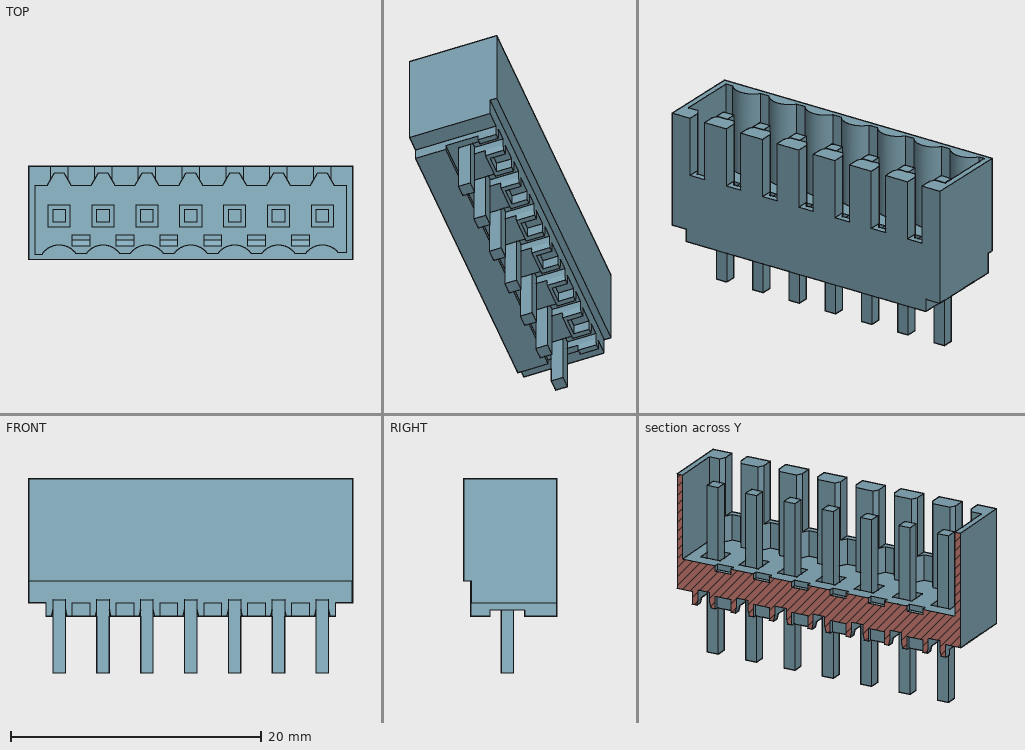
import cadquery as cq

LENGTH = 25.9
DEPTH = 7.45
HEIGHT = 11.0
FRONT_Y = -DEPTH / 2
BACK_Y = DEPTH / 2

PIN_COUNT = 7
ROW_LENGTH = 21.03
PITCH = ROW_LENGTH / (PIN_COUNT - 1)
PIN_Y = -0.23
PIN_SIZE = 1.0
PIN_TIP_DROP = 1.15
TAIL_LENGTH = 4.53
PIN_XS = [i * PITCH - ROW_LENGTH / 2 for i in range(PIN_COUNT)]
GAP_XS = [x + PITCH / 2 for x in PIN_XS[:-1]]

CAVITY_LENGTH = 24.86
CAVITY_DEPTH = 7.25
BACK_WALL = 1.55
FRONT_WALL = 0.47
FRONT_WALL_STEP = 0.08
FLOOR_Z = HEIGHT - CAVITY_DEPTH
CAVITY_BACK_Y = BACK_Y - BACK_WALL
CAVITY_LEFT_X = -CAVITY_LENGTH / 2
CAVITY_RIGHT_X = CAVITY_LENGTH / 2

RIB_WIDTH = 2.7
RIB_RISE = 0.7
RIB_RADIUS = ((RIB_WIDTH / 2) ** 2 + RIB_RISE**2) / (2 * RIB_RISE)
RIB_CENTRE_Y = FRONT_Y + FRONT_WALL + RIB_RISE - RIB_RADIUS

GROOVE_MOUTH = 1.95
GROOVE_BOTTOM = 0.78
GROOVE_DEPTH = 1.0
SLOT_WIDTH = 1.4
SLOT_DEPTH = 5.05

PIN_RECESS_SIZE = 1.75
PIN_RECESS_DEPTH = 0.5
POCKET_WIDTH = 1.42
POCKET_START = 1.1
POCKET_END = 1.95
POCKET_DEPTH = 0.5

SETBACK = 0.57
SETBACK_HEIGHT = 2.82
SETBACK_Y = FRONT_Y + SETBACK
CORNER_CHAMFER = 0.08
FOOT_LENGTH = 23.18
FOOT_HEIGHT = 1.1
CHANNEL_WIDTH = 2.75
CHANNEL_HEIGHT = 0.5
GAP_NOTCH_WIDTH = POCKET_WIDTH
GAP_NOTCH_DEPTH = 1.3
PIN_NOTCH_HEIGHT = 1.32
FLARE_HEIGHT = 0.52
FLARE_WIDTH = 0.13


def box(x_range, y_range, z_range):
    """Box spanning the given (low, high) ranges."""
    (x0, x1), (y0, y1), (z0, z1) = x_range, y_range, z_range
    return cq.Workplane("XY").box(x1 - x0, y1 - y0, z1 - z0, centered=False).translate((x0, y0, z0))


def span(centre, width):
    """(low, high) range of a width about a centre."""
    return centre - width / 2, centre + width / 2


def make_body():
    """Solid outer shape with the set-back front, stepped ends and underside channel.

    The upright edge where the set-back front meets the +X end is lightly chamfered.
    """
    full_x = span(0, LENGTH)
    full_y = (FRONT_Y, BACK_Y)
    foot_left, foot_right = span(0, FOOT_LENGTH)
    body = box(full_x, full_y, (0, HEIGHT))
    body = body.cut(box(full_x, (FRONT_Y, SETBACK_Y), (0, SETBACK_HEIGHT)))
    corner = cq.selectors.NearestToPointSelector((full_x[1], SETBACK_Y, SETBACK_HEIGHT / 2))
    body = body.edges(corner).chamfer(CORNER_CHAMFER)
    body = body.cut(box((full_x[0], foot_left), full_y, (0, FOOT_HEIGHT)))
    body = body.cut(box((foot_right, full_x[1]), full_y, (0, FOOT_HEIGHT)))
    return body.cut(box(full_x, span(PIN_Y, CHANNEL_WIDTH), (0, CHANNEL_HEIGHT)))


def make_cavity():
    """Volume of the plug cavity, less the rounded front ribs."""
    zones = [
        (CAVITY_LEFT_X, PIN_XS[0], FRONT_WALL - FRONT_WALL_STEP),
        (PIN_XS[0], PIN_XS[-1], FRONT_WALL),
        (PIN_XS[-1], CAVITY_RIGHT_X, FRONT_WALL + FRONT_WALL_STEP),
    ]
    cavity = cq.Workplane("XY")
    for left, right, wall in zones:
        cavity = cavity.union(box((left, right), (FRONT_Y + wall, CAVITY_BACK_Y), (FLOOR_Z, HEIGHT)))
    ribs = (
        cq.Workplane("XY", origin=(0, 0, FLOOR_Z))
        .pushPoints([(x, RIB_CENTRE_Y) for x in PIN_XS])
        .circle(RIB_RADIUS)
        .extrude(CAVITY_DEPTH)
    )
    return cavity.cut(ribs)


def make_groove(x):
    """Tapered back-wall groove, plus the slot through the upper back wall."""
    groove = (
        cq.Workplane("XY", origin=(x, CAVITY_BACK_Y, FLOOR_Z))
        .moveTo(-GROOVE_MOUTH / 2, 0)
        .lineTo(GROOVE_MOUTH / 2, 0)
        .lineTo(GROOVE_BOTTOM / 2, GROOVE_DEPTH)
        .lineTo(-GROOVE_BOTTOM / 2, GROOVE_DEPTH)
        .close()
        .extrude(CAVITY_DEPTH)
    )
    slot = box(span(x, SLOT_WIDTH), (CAVITY_BACK_Y, BACK_Y), (HEIGHT - SLOT_DEPTH, HEIGHT))
    return groove.union(slot)


def make_pin_notch(x):
    """Notch from the lower front back to the pin, flared at its bottom edge."""
    half = PIN_SIZE / 2
    half_mouth = half + FLARE_WIDTH
    pin_front_y = PIN_Y - half
    return (
        cq.Workplane("XZ", origin=(x, pin_front_y, 0))
        .moveTo(-half_mouth, 0)
        .lineTo(-half, FLARE_HEIGHT)
        .lineTo(-half, PIN_NOTCH_HEIGHT)
        .lineTo(half, PIN_NOTCH_HEIGHT)
        .lineTo(half, FLARE_HEIGHT)
        .lineTo(half_mouth, 0)
        .close()
        .extrude(pin_front_y - SETBACK_Y)
    )


def make_floor_pocket(x):
    """Pocket in the cavity floor whose front side slopes down at 45 degrees."""
    y0 = FRONT_Y + POCKET_START
    y1 = FRONT_Y + POCKET_END
    bottom = FLOOR_Z - POCKET_DEPTH
    return (
        cq.Workplane("YZ", origin=(x - POCKET_WIDTH / 2, 0, 0))
        .moveTo(y0, FLOOR_Z)
        .lineTo(y0 + POCKET_DEPTH, bottom)
        .lineTo(y1, bottom)
        .lineTo(y1, FLOOR_Z)
        .close()
        .extrude(POCKET_WIDTH)
    )


def make_pin(x):
    """Straight square contact pin."""
    return box(span(x, PIN_SIZE), span(PIN_Y, PIN_SIZE), (-TAIL_LENGTH, HEIGHT - PIN_TIP_DROP))


def make_housing():
    """Housing with its cavity and every pin hole, recess, groove and notch."""
    housing = make_body().cut(make_cavity())
    for x in PIN_XS:
        recess_z = (FLOOR_Z - PIN_RECESS_DEPTH, FLOOR_Z)
        housing = housing.cut(box(span(x, PIN_RECESS_SIZE), span(PIN_Y, PIN_RECESS_SIZE), recess_z))
        housing = housing.cut(make_groove(x))
        housing = housing.cut(make_pin_notch(x))
        housing = housing.cut(make_pin(x))
    for x in GAP_XS:
        notch_y = (SETBACK_Y, SETBACK_Y + GAP_NOTCH_DEPTH)
        housing = housing.cut(box(span(x, GAP_NOTCH_WIDTH), notch_y, (0, FOOT_HEIGHT)))
        housing = housing.cut(make_floor_pocket(x))
    return housing


housing = make_housing()
pins = [make_pin(x) for x in PIN_XS]

result = cq.Compound.makeCompound([housing.val(), *[pin.val() for pin in pins]])